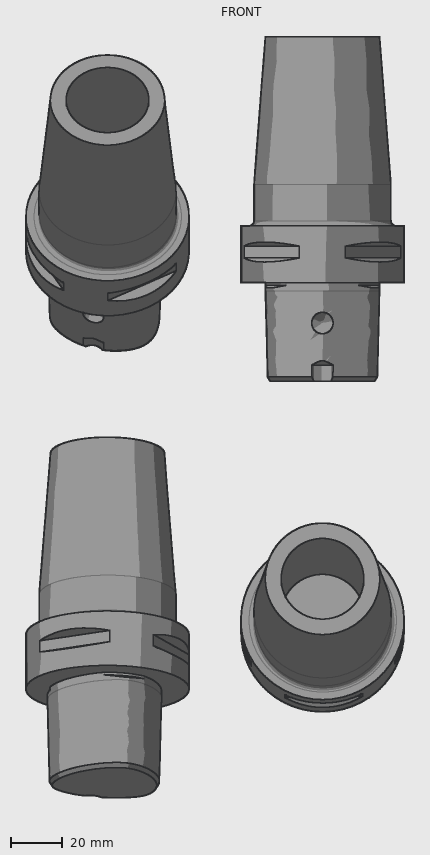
import cadquery as cq
import math

total_height = 133.0
shank_height = 38.0
taper_height = 35.0
flange_top = 60.0
neck_top = 76.1

flange_radius = 31.5
neck_radius = 26.5
neck_fillet = 2.0
nose_radius = 22.1
bore_radius = 16.0
bore_depth = 63.8

shank_diameter = 44.2
shank_taper = 0.05
lobe_count = 3
lobe_height = 1.5
shank_chamfer_height = 1.7
shank_chamfer = 1.0
outline_points = 36

relief_radius = 22.3
relief_height = 1.0
relief_depth = 2.1
relief_clearance = 0.1

slot_count = 4
slot_centre = 49.9
slot_flat_height = 4.5
slot_flat_distance = 27.7
slot_flare = 1.6

side_hole_radius = 4.1
side_hole_centre = 22.5
side_hole_wall_depth = 6.6
notch_radius = 4.7
notch_height = 6.3
notch_axis_distance = 21.8
drill_point_angle = 118.0


def drill_tip(radius):
    """Length of the cone at the end of a drill."""
    return radius / math.tan(math.radians(drill_point_angle / 2))


def lobed_outline(height, radius):
    """Closed constant-width curve with one lobe on +Y."""

    def point(angle):
        support = radius - lobe_height * math.sin(lobe_count * angle)
        slope = -lobe_count * lobe_height * math.cos(lobe_count * angle)
        return cq.Vector(
            support * math.cos(angle) - slope * math.sin(angle),
            support * math.sin(angle) + slope * math.cos(angle),
            height,
        )

    points = [point(2 * math.pi * i / outline_points) for i in range(outline_points)]
    return cq.Wire.assembleEdges([cq.Edge.makeSpline(points, periodic=True)])


def lobed_section(bottom, top, bottom_radius, top_radius):
    wires = [lobed_outline(bottom, bottom_radius), lobed_outline(top, top_radius)]
    return cq.Workplane(cq.Solid.makeLoft(wires, True))


def upper_body():
    body = (
        cq.Workplane("XZ")
        .moveTo(0, shank_height)
        .lineTo(flange_radius, shank_height)
        .lineTo(flange_radius, flange_top)
        .lineTo(neck_radius + neck_fillet, flange_top)
        .radiusArc((neck_radius, flange_top + neck_fillet), neck_fillet)
        .lineTo(neck_radius, neck_top)
        .lineTo(nose_radius, total_height)
        .lineTo(0, total_height)
        .close()
        .revolve(360, (0, 0), (0, 1))
    )
    bore = (
        cq.Workplane("XY", origin=(0, 0, total_height - bore_depth))
        .circle(bore_radius)
        .extrude(bore_depth)
    )
    return body.cut(bore)


def shank():
    large_radius = shank_diameter / 2
    small_radius = large_radius - shank_taper * (taper_height - shank_chamfer_height) / 2
    collar = lobed_section(taper_height, shank_height, large_radius, large_radius)
    taper = lobed_section(shank_chamfer_height, taper_height, small_radius, large_radius)
    tip = lobed_section(0, shank_chamfer_height, small_radius - shank_chamfer, small_radius)
    return collar.union(taper).union(tip)


def lobe_relief():
    """Ring cut under the flange, running out through a cone."""
    bottom = shank_height - relief_height
    runout = relief_depth - relief_height
    outer_radius = shank_diameter / 2 + lobe_height + relief_clearance
    return (
        cq.Workplane("XZ")
        .moveTo(relief_radius, shank_height)
        .lineTo(relief_radius, bottom)
        .lineTo(outer_radius, bottom - runout)
        .lineTo(outer_radius, shank_height)
        .close()
        .revolve(360, (0, 0), (0, 1))
    )


def gripper_slot(angle):
    """Straight slot with a flat floor and sides that flare outward."""
    half_floor = slot_flat_height / 2
    half_mouth = half_floor + slot_flare
    return (
        cq.Workplane("XZ")
        .polyline([
            (slot_flat_distance, slot_centre - half_floor),
            (flange_radius, slot_centre - half_mouth),
            (flange_radius, slot_centre + half_mouth),
            (slot_flat_distance, slot_centre + half_floor),
        ])
        .close()
        .extrude(flange_radius, both=True)
        .rotate((0, 0, 0), (0, 0, 1), angle)
    )


def drill(radius, depth):
    """Drill pointing up +Z with its full diameter ending at the given depth."""
    return (
        cq.Workplane("XZ")
        .polyline([(0, 0), (radius, 0), (radius, depth), (0, depth + drill_tip(radius))])
        .close()
        .revolve(360, (0, 0), (0, 1))
    )


def side_hole():
    flat_side = shank_diameter / 2 - lobe_height
    return (
        drill(side_hole_radius, flange_radius - flat_side + side_hole_wall_depth)
        .rotate((0, 0, 0), (1, 0, 0), -90)
        .translate((0, -flange_radius, side_hole_centre))
    )


def end_notch():
    """Groove left by a drill running up just outside the flat side of the shank."""
    return drill(notch_radius, notch_height).translate((0, -notch_axis_distance, 0))


trimmed_shank = shank().cut(lobe_relief()).cut(side_hole()).cut(end_notch())
holder = upper_body().union(trimmed_shank)
for index in range(slot_count):
    holder = holder.cut(gripper_slot((index + 0.5) * 360 / slot_count))

result = holder